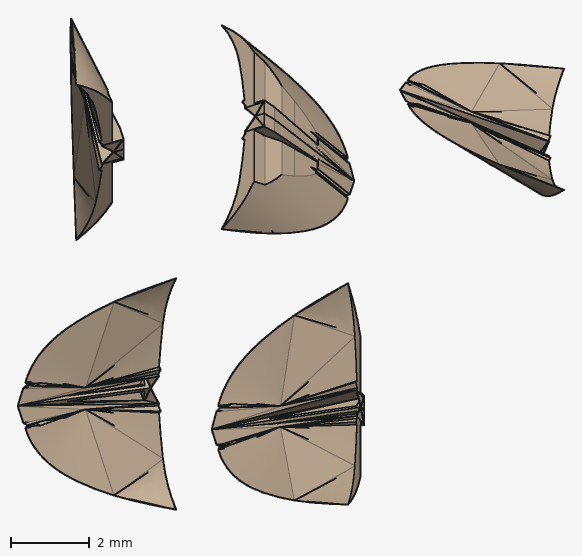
import cadquery as cq
LENGTH = 4.12
DEPTH = 1.34
HALF_HEIGHT = 3.0
RIM_SLOPE = DEPTH / LENGTH
MARGIN = 0.3

NOSE = (0, 0, 0)
PIT = (1.955, -0.33, 0.28)

LEAF_CORNER = (0.145, 0.45)
LEAF_END = (0.25, 0.52)
WEB_LOWER = (0.45, 0.475)
WEB_UPPER = (0.6, 0.55)
WEB_END = (0.3, 0.55)
WING_START = (0.2, 0.595)
WING_CURVE = [(0.44, 1.11), (0.97, 1.69), (1.645, 2.125)]
WING_SHOULDER = (2.495, 2.51)
WING_TIP = (LENGTH, HALF_HEIGHT)

LIP = (-0.64, 0.355)
FOLD_FOOT = (-0.625, 0.415)
FOLD_RIDGE = (-0.715, 0.54)
BOWL_START = (-0.65, 0.595)
BOWL_CURVE = [(-0.71, 1.135)]
BOWL_END = (-0.805, 1.75)
FLARE_CURVE = [(-0.985, 2.37)]

KEEL_END_Y = -0.32
CHANNEL_BACK_Y = -0.07
POCKET_START_X = 1.5
POCKET_FLOOR_Z = 0.07
POCKET_FLOOR_END_X = 3.97
POCKET_TOP_END_X = 4.075

SCOOP_EDGE = [(1.68, -0.03), (2.645, -0.095), (3.17, -0.14), (3.685, -0.31), (LENGTH, -0.355)]
POD_ROOF_START_Z = 0.24
POD_ROOF_END_Z = 0.39

BEVEL_START_X = 3.72
BEVEL_DEPTH = 0.05

END_WALL = 0.02

BACK_RISE = 0.02


def on_rim(point):
    """Place an (x, z) point on the sloping rim plane."""
    x, z = point
    return (x, -RIM_SLOPE * x, z)


def on_end(point):
    """Place a (y, z) point on the plane of the wide end."""
    y, z = point
    return (LENGTH, y, z)


def straight_edges(points):
    """Straight edges joining the points in turn."""
    vectors = [cq.Vector(*point) for point in points]
    return [cq.Edge.makeLine(start, end) for start, end in zip(vectors, vectors[1:])]


def curved_edge(points):
    """One smooth edge through all the points."""
    return cq.Edge.makeSpline([cq.Vector(*point) for point in points])


def cone(apex, edges):
    """Solid with straight rulings from the apex to a closed flat loop of edges."""
    base = cq.Wire.assembleEdges(edges)
    point = cq.Vertex.makeVertex(*apex)
    return cq.Workplane(obj=cq.occ_impl.shapes.loft(point, base, cap=True, ruled=True))


def pyramid(apex, corners):
    """Cone on a straight-sided base."""
    return cone(apex, straight_edges([*corners, corners[0]]))


def wing_rim_edge():
    return curved_edge([on_rim(point) for point in [WING_START, *WING_CURVE, WING_SHOULDER, WING_TIP]])


def blank():
    """Block behind the rim plane whose back runs from the rim toward the wide end."""
    sheet_edges = straight_edges([NOSE, on_rim(LEAF_CORNER), on_rim(LEAF_END), on_rim(WING_START)])
    sheet_edges.append(wing_rim_edge())
    sheet_edges += straight_edges([on_rim(WING_TIP), on_rim((LENGTH, 0)), NOSE])
    sheet = cq.Face.makeFromWires(cq.Wire.assembleEdges(sheet_edges))
    block = cq.Workplane(obj=cq.Solid.extrudeLinear(sheet, cq.Vector(LENGTH, BACK_RISE * LENGTH, 0)))
    limit = cq.Workplane().box(LENGTH, DEPTH, HALF_HEIGHT, centered=False).translate((0, -DEPTH, 0))
    return block.intersect(limit)


def front_hollows():
    """Cones from the pit and from the wing shoulder that together hollow the front behind the rim plane."""
    lip_on_rim = on_end((-DEPTH, LIP[1]))
    tip = on_rim(WING_TIP)

    rim = [NOSE] + [
        on_rim(p) for p in (LEAF_CORNER, LEAF_END, WEB_LOWER, WEB_UPPER, WEB_END, WING_START)
    ]
    rim_loop = straight_edges(rim) + [wing_rim_edge()] + straight_edges([tip, lip_on_rim, NOSE])

    bowl_end = on_end(BOWL_END)
    bowl_end_on_rim = on_end((-DEPTH, BOWL_END[1]))
    end_loop = straight_edges([lip_on_rim, *[on_end(p) for p in (LIP, FOLD_FOOT, FOLD_RIDGE, BOWL_START)]])
    end_loop.append(curved_edge([on_end(p) for p in [BOWL_START, *BOWL_CURVE, BOWL_END]]))
    end_loop += straight_edges([bowl_end, bowl_end_on_rim, lip_on_rim])

    shoulder = on_rim(WING_SHOULDER)
    flare_loop = [curved_edge([on_end(p) for p in [BOWL_END, *FLARE_CURVE]] + [tip])]
    flare_loop += straight_edges([tip, bowl_end_on_rim, bowl_end])

    return [
        cone(PIT, rim_loop),
        cone(PIT, end_loop),
        pyramid(PIT, [NOSE, on_end(LIP), lip_on_rim]),
        pyramid(PIT, [shoulder, bowl_end, bowl_end_on_rim]),
        cone(shoulder, flare_loop),
    ]


def channel():
    """Tapering channel from the nose that leaves the keel on one side and the lip on the other."""
    front_y = -DEPTH - MARGIN
    section = [(front_y, 0), (KEEL_END_Y, 0), (CHANNEL_BACK_Y, LIP[1]), LIP, (front_y, LIP[1])]
    return pyramid(NOSE, [on_end(point) for point in section])


def pocket():
    """Deeper pocket behind the keel flank and under the pod roof, closed at the wide end."""
    lip_slope = LIP[1] / LENGTH
    outline = [
        (POCKET_START_X, POCKET_FLOOR_Z),
        (POCKET_FLOOR_END_X, POCKET_FLOOR_Z),
        (POCKET_TOP_END_X, lip_slope * POCKET_TOP_END_X),
        (POCKET_START_X, lip_slope * POCKET_START_X),
    ]
    depth = CHANNEL_BACK_Y - KEEL_END_Y
    return cq.Workplane("XZ", origin=(0, CHANNEL_BACK_Y, 0)).polyline(outline).close().extrude(depth)


def back_scoop():
    """Cut behind the wing and above the pod roof."""
    start_x = SCOOP_EDGE[0][0]
    outline = [*SCOOP_EDGE, (LENGTH, MARGIN), (start_x, MARGIN)]
    column = cq.Workplane("XY").polyline(outline).close().extrude(HALF_HEIGHT)
    above_roof = [
        (start_x, POD_ROOF_START_Z),
        (LENGTH, POD_ROOF_END_Z),
        (LENGTH, HALF_HEIGHT),
        (start_x, HALF_HEIGHT),
    ]
    roof_limit = cq.Workplane("XZ").polyline(above_roof).close().extrude(DEPTH, both=True)
    return column.intersect(roof_limit)


def end_bevel():
    outline = [(BEVEL_START_X, 0), (LENGTH, -BEVEL_DEPTH), (LENGTH, MARGIN), (BEVEL_START_X, MARGIN)]
    return cq.Workplane("XY").polyline(outline).close().extrude(HALF_HEIGHT)


def end_wall():
    """Thin wall across the channel, from the keel to the lip."""
    outline = [(KEEL_END_Y, 0), (CHANNEL_BACK_Y, LIP[1]), LIP]
    return cq.Workplane("YZ", origin=(LENGTH - END_WALL, 0, 0)).polyline(outline).close().extrude(END_WALL)


def half():
    """The half above z = 0."""
    body = blank()
    for cut in [*front_hollows(), channel(), pocket(), back_scoop(), end_bevel()]:
        body = body.cut(cut)
    return body.union(end_wall())


upper_half = half()
halves = [body.solids().val() for body in (upper_half, upper_half.mirror("XY"))]

result = cq.Compound.makeCompound(halves)